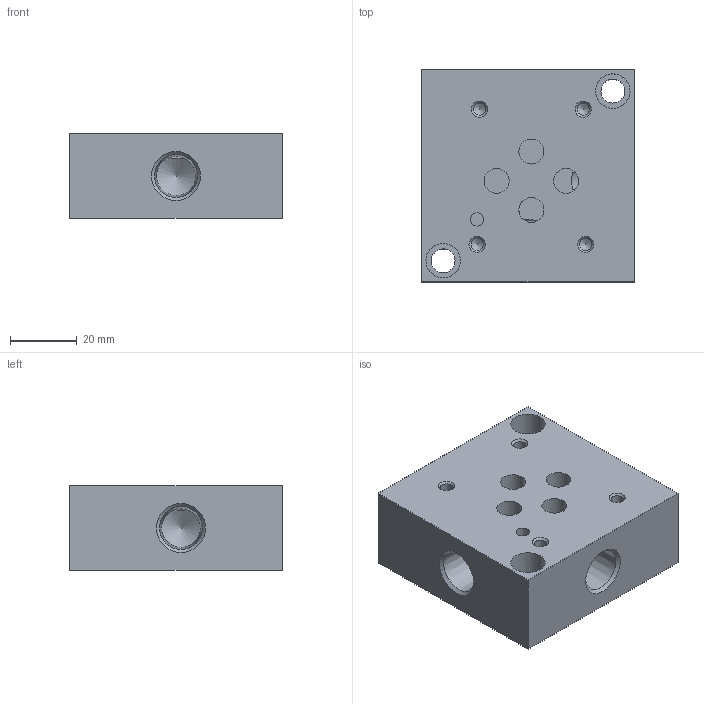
import cadquery as cq
import math

SIDE = 63.5
HEIGHT = 25.4

MOUNT_EDGE_DISTANCE = 6.35
MOUNT_OFFSET = SIDE / 2 - MOUNT_EDGE_DISTANCE
MOUNT_DIAMETER = 7.14
MOUNT_CBORE_DIAMETER = 10.31
MOUNT_CBORE_DEPTH = 8.0

PATTERN_X = 16.5
PATTERN_Y = 20.0
VALVE_BOLTS = [(0, 0), (40.5, -0.75), (40.5, 31.75), (0, 31)]
LOCATING_PIN = (33, 31.75)
PASSAGE_P = (21.5, 25.9)
PASSAGE_A = (12.7, 15.5)
PASSAGE_B = (30.2, 15.5)
PASSAGE_T = (21.5, 5.1)

PASSAGE_DIAMETER = 7.49
PASSAGE_DEPTH = 7.45
PIN_DIAMETER = 4.01
PIN_DEPTH = 4.0
BOLT_DIAMETER = 3.68
BOLT_MOUTH_DIAMETER = 4.83
BOLT_MOUTH_DEPTH = 0.6
BOLT_DEPTH = 12.7

PORT_Z = HEIGHT / 2
PORT_MOUTH_DIAMETER = 14.65
PORT_THREAD_DIAMETER = 12.8
PORT_DEPTH = 18.35
PORT_TAPER = 1 / 16

DRILL_POINT_ANGLE = 118


def pattern_point(point):
    """Place a valve pattern point (along, across) on the block's XY axes."""
    along, across = point
    return PATTERN_X - across, PATTERN_Y - along


def drill_point_height(diameter):
    """Height of the cone that a twist drill leaves at the bottom of a hole."""
    return diameter / 2 / math.tan(math.radians(DRILL_POINT_ANGLE / 2))


def turned_hole(profile):
    """Revolve (radius, depth) points about the Z axis, with the depth running down."""
    points = [(radius, -depth) for radius, depth in profile]
    return cq.Workplane("XZ").polyline(points).close().revolve(360, (0, 0, 0), (0, 1, 0))


def flat_hole(diameter, depth):
    return cq.Workplane("XY").circle(diameter / 2).extrude(-depth)


def mounting_hole():
    return flat_hole(MOUNT_DIAMETER, HEIGHT).union(flat_hole(MOUNT_CBORE_DIAMETER, MOUNT_CBORE_DEPTH))


def bolt_hole():
    radius = BOLT_DIAMETER / 2
    return turned_hole([
        (0, 0),
        (BOLT_MOUTH_DIAMETER / 2, 0),
        (radius, BOLT_MOUTH_DEPTH),
        (radius, BOLT_DEPTH),
        (0, BOLT_DEPTH + drill_point_height(BOLT_DIAMETER)),
    ])


def port():
    """Port cutter drilled down from the origin: 45-degree mouth, tapered bore, drill point."""
    mouth_radius = PORT_MOUTH_DIAMETER / 2
    thread_radius = PORT_THREAD_DIAMETER / 2
    mouth_depth = mouth_radius - thread_radius
    end_diameter = PORT_THREAD_DIAMETER - PORT_TAPER * (PORT_DEPTH - mouth_depth)
    return turned_hole([
        (0, 0),
        (mouth_radius, 0),
        (thread_radius, mouth_depth),
        (end_diameter / 2, PORT_DEPTH),
        (0, PORT_DEPTH + drill_point_height(end_diameter)),
    ])


def side_port(direction, across):
    """Port entering a side face; direction is the angle of that face's outward normal from +X."""
    lying = port().rotate((0, 0, 0), (0, 1, 0), 90).translate((SIDE / 2, across, PORT_Z))
    return lying.rotate((0, 0, 0), (0, 0, 1), direction)


def cut_from_top(body, cutter, points):
    for x, y in points:
        body = body.cut(cutter.translate((x, y, HEIGHT)))
    return body


result = cq.Workplane("XY").box(SIDE, SIDE, HEIGHT, centered=(True, True, False))

mounts = [(MOUNT_OFFSET, MOUNT_OFFSET), (-MOUNT_OFFSET, -MOUNT_OFFSET)]
result = cut_from_top(result, mounting_hole(), mounts)

bolts = [pattern_point(point) for point in VALVE_BOLTS]
result = cut_from_top(result, bolt_hole(), bolts)
result = cut_from_top(result, flat_hole(PIN_DIAMETER, PIN_DEPTH), [pattern_point(LOCATING_PIN)])

passages = [pattern_point(point) for point in (PASSAGE_P, PASSAGE_A, PASSAGE_B, PASSAGE_T)]
result = cut_from_top(result, flat_hole(PASSAGE_DIAMETER, PASSAGE_DEPTH), passages)

port_row_y = pattern_point(PASSAGE_P)[1]
result = result.cut(side_port(180, -port_row_y))
result = result.cut(side_port(0, port_row_y))
result = result.cut(side_port(90, 0))
result = result.cut(side_port(270, 0))